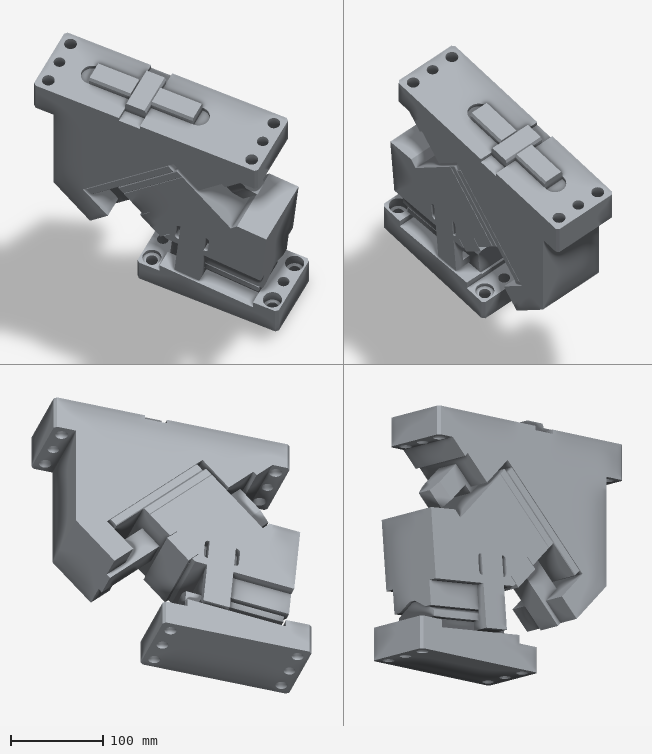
import cadquery as cq
import math


body_width = 80.0
half_width = body_width / 2
corner_chamfer = 3.0
hole_row_y = 27.5
hole_inset = 12.5
dowel_diameter = 12.7

slot_corner_x = 60.2
slot_corner_z = 121.0
diagonal = math.sqrt(0.5)

rail_slope = math.radians(5)
seat_start_x = 152.5
seat_start_z = 37.8

slide_plane = cq.Plane(
    origin=(slot_corner_x, 0, slot_corner_z), xDir=(1, 0, 1), normal=(0, -1, 0)
)
rail_direction = (math.cos(rail_slope), 0, -math.sin(rail_slope))
rail_plane = cq.Plane(
    origin=(seat_start_x, 0, seat_start_z), xDir=rail_direction, normal=(0, -1, 0)
)
rail_section_plane = cq.Plane(
    origin=(seat_start_x, 0, seat_start_z), xDir=(0, 1, 0), normal=rail_direction
)


def slide_point(along, depth):
    """X and Z of a point given in the slide frame."""
    return (
        slot_corner_x + (along + depth) * diagonal,
        slot_corner_z + (along - depth) * diagonal,
    )


def rail_point(run, rise):
    """X and Z of a point given in the rail frame."""
    return (
        seat_start_x + run * math.cos(rail_slope) + rise * math.sin(rail_slope),
        seat_start_z - run * math.sin(rail_slope) + rise * math.cos(rail_slope),
    )


def prism(points, width):
    """Outline in X and Z, extruded to a width centred on the middle plane."""
    return cq.Workplane("XZ").polyline(points).close().extrude(width / 2, both=True)


def bar(plane, start, end, low, high, y_low, y_high):
    """Rectangular bar: start to end and low to high in the plane's own axes, between two Y values."""
    return (
        cq.Workplane(plane)
        .workplane(offset=-y_high)
        .center((start + end) / 2, (low + high) / 2)
        .rect(end - start, high - low)
        .extrude(y_high - y_low)
    )


def slide_bar(along, depth, y_range):
    return bar(slide_plane, along[0], along[1], -depth[1], -depth[0], y_range[0], y_range[1])


def rail_bar(run, rise, y_range):
    return bar(rail_plane, run[0], run[1], rise[0], rise[1], y_range[0], y_range[1])


def both_sides(solid):
    """A solid joined with its mirror image across the middle plane."""
    return solid.union(solid.mirror("XZ"))


def vertical_cylinders(points, diameter, bottom, top):
    return (
        cq.Workplane("XY")
        .workplane(offset=bottom)
        .pushPoints(points)
        .circle(diameter / 2)
        .extrude(top - bottom)
    )


slot_length = 154.5
plate_thickness = 10.0
plate_chamfer = 1.0
joint_depth = 2 * plate_thickness
slider_start = 49.5
slider_end = 150.0

housing_plate_start = 5.3
housing_plate_end = 144.8

tongue_width = 27.7
tongue_start = -30.5
tongue_bottom = 47.8
keeper_start = 161.0
keeper_end = 185.5


def wear_plate(along_start, along_end, depth_start):
    """Full-width plate with chamfered long edges, lying parallel to the slot floor."""
    along = (along_start, along_end)
    depth = (depth_start, depth_start + plate_thickness)
    plate = slide_bar(along, depth, (-half_width, half_width))
    return plate.faces("<Y or >Y").edges("|(1,0,1)").chamfer(plate_chamfer)


def tongue():
    """Central guide bar of the housing that passes through the slider."""
    half = tongue_width / 2
    return slide_bar((tongue_start, keeper_end), (joint_depth, tongue_bottom), (-half, half))


housing_length = 270.0
housing_top = 275.0
front_flange_bottom = 235.0
rear_flange_bottom = 242.8
web_x = 24.8
toe_depth = 42.5
notch_along = 194.5

keeper_bottom = 90.5
keeper_bend = 75.5
keeper_tip_half = 8.8

housing_screw_diameter = 14.0

key_top = 284.0
key_seat_depth = 4.7
long_seat_start = 39.5
long_seat_end = 192.3
long_key_start = 54.0
long_key_end = 179.0
long_key_width = 24.8
cross_key_start = 103.5
cross_key_end = 129.0
cross_key_length = 50.2
key_chamfer_side = 1.8
key_chamfer_height = 3.5


def housing_block():
    toe_corner_z = slot_corner_x + slot_corner_z + tongue_start / diagonal - web_x
    rear_slope_x = rear_flange_bottom + slot_corner_x - slot_corner_z + tongue_bottom / diagonal
    points = [
        (0, housing_top),
        (housing_length, housing_top),
        (housing_length, rear_flange_bottom),
        (rear_slope_x, rear_flange_bottom),
        slide_point(notch_along, tongue_bottom),
        slide_point(notch_along, toe_depth),
        slide_point(slot_length, toe_depth),
        slide_point(slot_length, 0),
        slide_point(0, 0),
        slide_point(0, toe_depth),
        slide_point(tongue_start, toe_depth),
        (web_x, toe_corner_z),
        (web_x, front_flange_bottom),
        (0, front_flange_bottom),
    ]
    block = prism(points, body_width)
    return block.faces("<X or >X").edges("|Z").chamfer(corner_chamfer)


def keeper():
    """Block hanging from the tongue, its free end tapering in width."""
    half = tongue_width / 2
    start_x, start_z = slide_point(keeper_start, 0)
    plane = cq.Plane(origin=(start_x, 0, start_z), xDir=(1, 0, -1), normal=(1, 0, 1))
    points = [
        (joint_depth, -half),
        (keeper_bend, -half),
        (keeper_bottom, -keeper_tip_half),
        (keeper_bottom, keeper_tip_half),
        (keeper_bend, half),
        (joint_depth, half),
    ]
    return cq.Workplane(plane).polyline(points).close().extrude(keeper_end - keeper_start)


def key(length, width):
    """Key along X with its two long top edges chamfered, standing on the key seat floor."""
    half = width / 2
    height = key_top - housing_top + key_seat_depth
    points = [
        (-half, 0),
        (half, 0),
        (half, height - key_chamfer_height),
        (half - key_chamfer_side, height),
        (-half + key_chamfer_side, height),
        (-half, height - key_chamfer_height),
    ]
    section = cq.Workplane("YZ").polyline(points).close()
    return section.extrude(length / 2, both=True).translate((0, 0, housing_top - key_seat_depth))


def key_seats():
    long_seat = (
        cq.Workplane("XY")
        .workplane(offset=housing_top)
        .center((long_seat_start + long_seat_end) / 2, 0)
        .slot2D(long_seat_end - long_seat_start, long_key_width)
        .extrude(-key_seat_depth)
    )
    cross_seat = (
        cq.Workplane("XY")
        .workplane(offset=housing_top)
        .center((cross_key_start + cross_key_end) / 2, 0)
        .rect(cross_key_end - cross_key_start, body_width)
        .extrude(-key_seat_depth)
    )
    return long_seat.union(cross_seat)


def keys():
    """Cross key lying over a long key, which is interrupted where the cross key passes."""
    long_key = key(long_key_end - long_key_start, long_key_width)
    cross_key = key(cross_key_length, cross_key_end - cross_key_start)
    cross_key = cross_key.rotate((0, 0, 0), (0, 0, 1), 90)
    long_key = long_key.translate(((long_key_start + long_key_end) / 2, 0, 0))
    cross_key = cross_key.translate(((cross_key_start + cross_key_end) / 2, 0, 0))
    cross_key_space = (
        cq.Workplane("XY")
        .workplane(offset=housing_top - key_seat_depth)
        .center((cross_key_start + cross_key_end) / 2, 0)
        .rect(cross_key_end - cross_key_start, cross_key_length)
        .extrude(key_top - housing_top + key_seat_depth)
    )
    return long_key.cut(cross_key_space).union(cross_key)


def housing_holes():
    columns = (hole_inset, housing_length - hole_inset)
    screws = [(x, y) for x in columns for y in (-hole_row_y, hole_row_y)]
    dowels = [(x, 0) for x in columns]
    holes = vertical_cylinders(screws, housing_screw_diameter, front_flange_bottom, housing_top)
    return holes.union(vertical_cylinders(dowels, dowel_diameter, front_flange_bottom, housing_top))


def make_housing():
    return (
        housing_block()
        .cut(key_seats())
        .cut(housing_holes())
        .union(keys())
        .union(wear_plate(housing_plate_start, housing_plate_end, 0))
        .union(tongue())
        .union(keeper())
    )


base_start = 124.8
base_end = 295.0
base_ledge_z = 28.3
base_rear_z = 36.5
seat_end_x = 265.2

rail_start = 3.0
rail_end = 112.7
head_start = 29.5
stem_half = 19.5
head_half = 28.0
head_bottom = 14.5
head_shoulder = 22.0
rail_top = 35.5
rail_top_half = 4.5
foot_depth = 2.5

base_screw_diameter = 13.0
counterbore_diameter = 20.6
counterbore_floor_z = 23.3


def base_block():
    points = [
        (base_start, 0),
        (base_end, 0),
        (base_end, base_rear_z),
        (seat_end_x, base_rear_z),
        (seat_end_x, seat_start_z - (seat_end_x - seat_start_x) * math.tan(rail_slope)),
        (seat_start_x, seat_start_z),
        (seat_start_x, base_ledge_z),
        (base_start, base_ledge_z),
    ]
    block = prism(points, body_width)
    return block.faces("<X or >X").edges("|Z").chamfer(corner_chamfer)


def roofed_section(start, end, bottom, half):
    """Length of rail of the given half width, closed at the top by the rail's sloping roof."""
    roof_slope = (rail_top - head_shoulder) / (head_half - rail_top_half)
    shoulder = head_shoulder + (head_half - half) * roof_slope
    points = [
        (-half, bottom),
        (half, bottom),
        (half, shoulder),
        (rail_top_half, rail_top),
        (-rail_top_half, rail_top),
        (-half, shoulder),
    ]
    section = cq.Workplane(rail_section_plane).workplane(offset=start).polyline(points).close()
    return section.extrude(end - start)


def rail_foot_notch():
    """Notch as wide as the rail stem, cut into the seat edge so that the rail's foot sits lower."""
    return rail_bar((-rail_start, rail_start), (-foot_depth, foot_depth), (-stem_half, stem_half))


def rail():
    stem = roofed_section(rail_start, rail_end, -foot_depth, stem_half)
    return stem.union(roofed_section(head_start, rail_end, head_bottom, head_half))


def base_holes():
    columns = (base_start + hole_inset, base_end - hole_inset)
    screws = [(x, y) for x in columns for y in (-hole_row_y, hole_row_y)]
    dowels = [(x, 0) for x in columns]
    return (
        vertical_cylinders(screws, base_screw_diameter, 0, base_rear_z)
        .union(vertical_cylinders(screws, counterbore_diameter, counterbore_floor_z, base_rear_z))
        .union(vertical_cylinders(dowels, dowel_diameter, 0, base_rear_z))
    )


def make_base():
    return base_block().cut(base_holes()).cut(rail_foot_notch()).union(rail())


slider_rear = 117.7
slider_top = 132.5
slider_top_start = 82.3
slider_face_depth = 102.5
cheek_bottom = 53.7
cheek_bottom_start = 4.0
lug_start = 44.5
lug_depths = (52.8, 87.5)
slit_end = 60.5
slit_width = 0.5

core_start = 18.5
core_half = 29.5
core_bottom = 26.3

leg_start = 17.7
leg_end = 47.8
leg_bottom = 4.5
leg_top = 94.5
hook_half = 20.5

pocket_length = 40.5
pocket_rises = (62.8, 86.5)
pocket_radius = 4.5


def slider_block():
    points = [
        slide_point(slider_start, joint_depth),
        slide_point(slider_end, joint_depth),
        slide_point(slider_end, slider_face_depth),
        rail_point(slider_top_start, slider_top),
        rail_point(slider_rear, slider_top),
        rail_point(slider_rear, cheek_bottom),
        rail_point(cheek_bottom_start, cheek_bottom),
        slide_point(slider_start, lug_depths[1]),
        slide_point(lug_start, lug_depths[1]),
        slide_point(lug_start, lug_depths[0]),
        slide_point(slider_start, lug_depths[0]),
    ]
    return prism(points, body_width)


def lug_slits():
    """Thin slits in both cheeks that continue the two sides of the lug."""
    slits = cq.Workplane("XY")
    for depth in lug_depths:
        depths = (depth - slit_width / 2, depth + slit_width / 2)
        slits = slits.add(slide_bar((slider_start, slit_end), depths, (core_half, half_width)))
    return both_sides(slits.combine())


def leg_pockets():
    """Rounded pockets in the cheeks; the legs fill the middle of each one."""
    bottom, top = pocket_rises
    middle = (leg_start + leg_end) / 2
    run = (middle - pocket_length / 2, middle + pocket_length / 2)
    pocket = rail_bar(run, (bottom, top), (core_half, half_width))
    return both_sides(pocket.edges("|Y").fillet(pocket_radius))


def legs():
    """Leg on each side, with a hook that reaches in below the rail head."""
    leg = rail_bar((leg_start, leg_end), (leg_bottom, leg_top), (core_half, half_width))
    hook = rail_bar((leg_start, leg_end), (leg_bottom, head_bottom), (hook_half, half_width))
    return both_sides(leg.union(hook))


def make_slider():
    core = rail_bar((core_start, slider_rear), (core_bottom, cheek_bottom), (-core_half, core_half))
    return (
        slider_block()
        .union(core)
        .cut(lug_slits())
        .cut(leg_pockets())
        .union(legs())
        .union(wear_plate(slider_start, slider_end, plate_thickness))
        .cut(tongue())
        .cut(roofed_section(leg_start, slider_rear, head_bottom, head_half))
    )


housing = make_housing()
base = make_base()
slider = make_slider()

result = cq.Compound.makeCompound(
    [housing.solids().val(), base.solids().val(), slider.solids().val()]
)